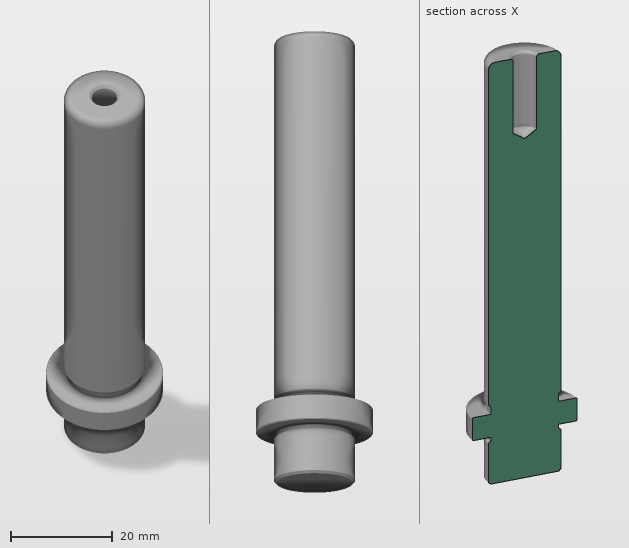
import cadquery as cq
import math

total_length = 90.0
shaft_radius = 8.0
tip_fillet = 1.5

collar_radius = 23.0 / 2
collar_bottom = 10.0
collar_thickness = 5.0
collar_top = collar_bottom + collar_thickness
collar_chamfer = 0.2

groove_radius = 7.5
groove_slope = shaft_radius - groove_radius
lower_groove_width = 1.2
upper_groove_width = 2.0
lower_groove_start = collar_bottom - lower_groove_width
upper_groove_end = collar_top + upper_groove_width

lead_in_height = 2.0
lead_in_clearance = 0.01
lead_in_radius = shaft_radius - lead_in_clearance
bottom_chamfer = 0.5

bore_radius = 2.5
bore_mouth_radius = 3.0
bore_depth = 16.0
drill_tip_angle = 118.0


def make_body():
    """Revolve the outer half-profile around the Z axis."""
    tip_arc_offset = tip_fillet * (1 - math.sqrt(0.5))
    return (
        cq.Workplane("XZ")
        .moveTo(0, 0)
        .lineTo(lead_in_radius - bottom_chamfer, 0)
        .lineTo(lead_in_radius, bottom_chamfer)
        .lineTo(lead_in_radius, lead_in_height)
        .lineTo(shaft_radius, lead_in_height)
        .lineTo(shaft_radius, lower_groove_start)
        .lineTo(groove_radius, lower_groove_start + groove_slope)
        .lineTo(groove_radius, collar_bottom)
        .lineTo(collar_radius - collar_chamfer, collar_bottom)
        .lineTo(collar_radius, collar_bottom + collar_chamfer)
        .lineTo(collar_radius, collar_top - collar_chamfer)
        .lineTo(collar_radius - collar_chamfer, collar_top)
        .lineTo(groove_radius, collar_top)
        .lineTo(groove_radius, upper_groove_end - groove_slope)
        .lineTo(shaft_radius, upper_groove_end)
        .lineTo(shaft_radius, total_length - tip_fillet)
        .threePointArc(
            (shaft_radius - tip_arc_offset, total_length - tip_arc_offset),
            (shaft_radius - tip_fillet, total_length),
        )
        .lineTo(0, total_length)
        .close()
        .revolve(360, (0, 0, 0), (0, 1, 0))
    )


def make_bore():
    """Countersunk blind bore with a conical drill tip, opening at the top."""
    countersink_depth = bore_mouth_radius - bore_radius
    bore_floor = total_length - bore_depth
    drill_tip_height = bore_radius / math.tan(math.radians(drill_tip_angle / 2))
    return (
        cq.Workplane("XZ")
        .moveTo(0, total_length)
        .lineTo(bore_mouth_radius, total_length)
        .lineTo(bore_radius, total_length - countersink_depth)
        .lineTo(bore_radius, bore_floor)
        .lineTo(0, bore_floor - drill_tip_height)
        .close()
        .revolve(360, (0, 0, 0), (0, 1, 0))
    )


result = make_body().cut(make_bore())